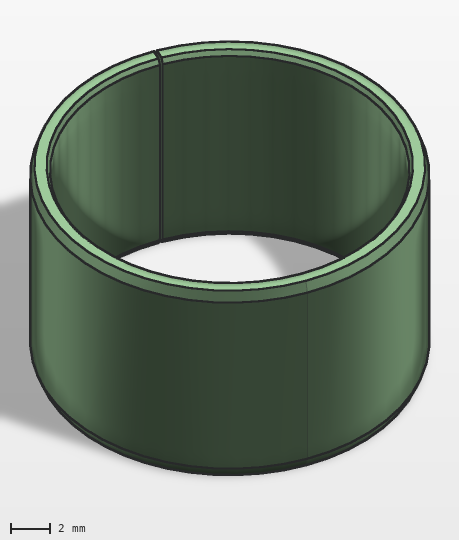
import cadquery as cq
import math

outer_diameter = 20.0
wall_thickness = 1.0
length = 12.0

outer_radius = outer_diameter / 2
bore_radius = outer_radius - wall_thickness

outer_chamfer_length = 0.6
outer_chamfer_angle = math.radians(20)
outer_chamfer_depth = outer_chamfer_length * math.tan(outer_chamfer_angle)

bore_chamfer_length = 0.3
bore_chamfer_angle = math.radians(30)
bore_chamfer_depth = bore_chamfer_length * math.tan(bore_chamfer_angle)

joint_angle = math.radians(1)


def make_ring():
    """Revolve the chamfered wall section around the Z axis."""
    outer_rim_radius = outer_radius - outer_chamfer_depth
    bore_rim_radius = bore_radius + bore_chamfer_depth
    section = (
        cq.Workplane("XZ")
        .moveTo(bore_rim_radius, 0)
        .lineTo(outer_rim_radius, 0)
        .lineTo(outer_radius, outer_chamfer_length)
        .lineTo(outer_radius, length - outer_chamfer_length)
        .lineTo(outer_rim_radius, length)
        .lineTo(bore_rim_radius, length)
        .lineTo(bore_radius, length - bore_chamfer_length)
        .lineTo(bore_radius, bore_chamfer_length)
        .close()
    )
    return section.revolve(360, (0, 0, 0), (0, 1, 0))


def make_joint_cutter():
    """Wedge with its tip on the axis, reaching past the wall on the -X side."""
    reach = outer_radius + wall_thickness
    return (
        cq.Workplane("XY")
        .moveTo(0, 0)
        .lineTo(-reach, 0)
        .lineTo(-reach, reach * math.tan(joint_angle))
        .close()
        .extrude(length)
    )


result = make_ring().cut(make_joint_cutter())